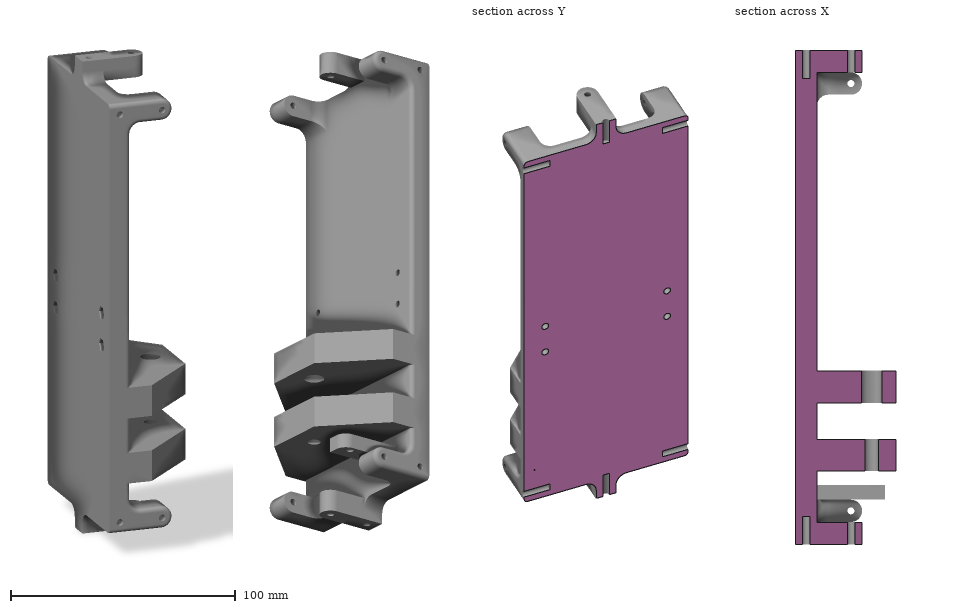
import cadquery as cq
import math

WIDTH = 80.0
DEPTH = 45.0
LENGTH = 220.0

PLATE_THICKNESS = 10.0
FLANGE_THICKNESS = 10.0
FLANGE_DEPTH = 30.0
FLANGE_TIP_RADIUS = FLANGE_THICKNESS / 2
INNER_CORNER_RADIUS = 5.0
SIDE_EDGE_RADIUS = 2.0
OPENING_WIDTH = 55.5

TAB_WIDTH = 10.0
BODY_LENGTH = 200.0
TAB_LENGTH = (LENGTH - BODY_LENGTH) / 2
TAB_ROOT_RADIUS = 5.0

SCREW_HOLE_DIAMETER = 3.0
BLIND_HOLE_DEPTH = 12.5

BLOCK_LENGTH = 14.3
BLOCK_TOP_WIDTH = 30.0
BLOCK_CHAMFER = (WIDTH - BLOCK_TOP_WIDTH) / 2
UPPER_BLOCK_CENTER = -39.8
BLOCK_PITCH = 30.4
LOWER_BLOCK_CENTER = UPPER_BLOCK_CENTER - BLOCK_PITCH
SHAFT_HEIGHT = 34.0
UPPER_BORE_DIAMETER = 9.0
LOWER_BORE_DIAMETER = 6.0

EAR_OUTER_X = -30.0
EAR_WIDTH = 10.0
EAR_DEPTH = 40.0
EAR_LENGTH = 6.5
EAR_CORNER_RADIUS = 5.0
EAR_HOLE_INSET = 3.0

NUT_SPACING_X = 59.5
NUT_ROW_HEIGHTS = (0.0, -15.0)
NUT_ACROSS_FLATS = 5.7
NUT_POCKET_DEPTH = 3.0

BODY_TOP = BODY_LENGTH / 2
FLANGE_INNER = BODY_TOP - FLANGE_THICKNESS
FLANGE_MIDDLE = BODY_TOP - FLANGE_THICKNESS / 2
TIP_CENTER_Y = FLANGE_DEPTH - FLANGE_TIP_RADIUS
SCREW_HOLE_INNER_Y = PLATE_THICKNESS / 2


def solid_along_z(sketch, z_start, height):
    """Extrude a workplane drawn in X and Y upward from z_start."""
    return sketch.extrude(height).translate((0, 0, z_start))


def cylinder(start, direction, diameter, length):
    return cq.Workplane(
        cq.Solid.makeCylinder(diameter / 2, length, cq.Vector(*start), cq.Vector(*direction))
    )


def make_body():
    """Plate and end flanges as one C profile, rounded along both sides, then opened up."""
    corner_y = PLATE_THICKNESS + INNER_CORNER_RADIUS
    corner_z = FLANGE_INNER - INNER_CORNER_RADIUS
    arc_offset = INNER_CORNER_RADIUS * (1 - math.sqrt(0.5))
    arc_y = PLATE_THICKNESS + arc_offset
    arc_z = FLANGE_INNER - arc_offset
    body = (
        cq.Workplane("YZ")
        .moveTo(0, -BODY_TOP)
        .lineTo(TIP_CENTER_Y, -BODY_TOP)
        .threePointArc((FLANGE_DEPTH, -FLANGE_MIDDLE), (TIP_CENTER_Y, -FLANGE_INNER))
        .lineTo(corner_y, -FLANGE_INNER)
        .threePointArc((arc_y, -arc_z), (PLATE_THICKNESS, -corner_z))
        .lineTo(PLATE_THICKNESS, corner_z)
        .threePointArc((arc_y, arc_z), (corner_y, FLANGE_INNER))
        .lineTo(TIP_CENTER_Y, FLANGE_INNER)
        .threePointArc((FLANGE_DEPTH, FLANGE_MIDDLE), (TIP_CENTER_Y, BODY_TOP))
        .lineTo(0, BODY_TOP)
        .close()
        .extrude(WIDTH / 2, both=True)
    )
    body = body.faces("<X or >X").edges("not <Y").fillet(SIDE_EDGE_RADIUS)

    opening = (
        cq.Workplane("XY")
        .box(OPENING_WIDTH, 2 * FLANGE_DEPTH, LENGTH, centered=(True, False, True))
        .edges("<Y and |Z")
        .fillet(INNER_CORNER_RADIUS)
        .translate((0, PLATE_THICKNESS, 0))
    )
    return body.cut(opening)


def make_tab():
    """Round-ended tab at the top end, with its root flared into the plate."""
    half = TAB_WIDTH / 2
    bar_end = FLANGE_DEPTH - half
    bar = solid_along_z(
        cq.Workplane("XY")
        .moveTo(-half, 0)
        .lineTo(half, 0)
        .lineTo(half, bar_end)
        .threePointArc((0, FLANGE_DEPTH), (-half, bar_end))
        .close(),
        BODY_TOP,
        TAB_LENGTH,
    )
    flare = half + TAB_ROOT_RADIUS
    root = (
        cq.Workplane("XZ")
        .moveTo(-flare, BODY_TOP)
        .radiusArc((-half, BODY_TOP + TAB_ROOT_RADIUS), -TAB_ROOT_RADIUS)
        .lineTo(half, BODY_TOP + TAB_ROOT_RADIUS)
        .radiusArc((flare, BODY_TOP), -TAB_ROOT_RADIUS)
        .close()
        .extrude(-PLATE_THICKNESS)
    )
    outer_hole = cylinder((0, bar_end, LENGTH / 2), (0, 0, -1), SCREW_HOLE_DIAMETER, TAB_LENGTH)
    return bar.union(root).cut(outer_hole)


def make_block(center_z, bore_diameter):
    """Full-width bearing block with sloped shoulders and a bore along Z."""
    bottom = center_z - BLOCK_LENGTH / 2
    shoulder = DEPTH - BLOCK_CHAMFER
    block = solid_along_z(
        cq.Workplane("XY").polyline(
            [
                (-WIDTH / 2, 0),
                (WIDTH / 2, 0),
                (WIDTH / 2, shoulder),
                (BLOCK_TOP_WIDTH / 2, DEPTH),
                (-BLOCK_TOP_WIDTH / 2, DEPTH),
                (-WIDTH / 2, shoulder),
            ]
        ).close(),
        bottom,
        BLOCK_LENGTH,
    )
    return block.cut(cylinder((0, SHAFT_HEIGHT, bottom), (0, 0, 1), bore_diameter, BLOCK_LENGTH))


def make_ear():
    """Upright ear with a rounded outer corner and one screw hole."""
    ear = (
        cq.Workplane("XY")
        .box(EAR_WIDTH, EAR_DEPTH, EAR_LENGTH, centered=False)
        .edges("<X and >Y and |Z")
        .fillet(EAR_CORNER_RADIUS)
        .translate((EAR_OUTER_X, 0, -FLANGE_INNER))
    )
    hole_start = (EAR_OUTER_X + EAR_HOLE_INSET, SHAFT_HEIGHT, -FLANGE_INNER)
    return ear.cut(cylinder(hole_start, (0, 0, 1), SCREW_HOLE_DIAMETER, EAR_LENGTH))


def cut_end_screw_holes(part):
    """Holes through the flange tips, and blind holes into the plate's sides and tabs."""
    for end in (-1, 1):
        hole_z = end * FLANGE_MIDDLE
        tip_start = (-WIDTH / 2, TIP_CENTER_Y, hole_z)
        part = part.cut(cylinder(tip_start, (1, 0, 0), SCREW_HOLE_DIAMETER, WIDTH))
        tab_start = (0, SCREW_HOLE_INNER_Y, end * LENGTH / 2)
        part = part.cut(cylinder(tab_start, (0, 0, -end), SCREW_HOLE_DIAMETER, BLIND_HOLE_DEPTH))
        for side in (-1, 1):
            start = (side * WIDTH / 2, SCREW_HOLE_INNER_Y, hole_z)
            part = part.cut(cylinder(start, (-side, 0, 0), SCREW_HOLE_DIAMETER, BLIND_HOLE_DEPTH))
    return part


def cut_nut_holes(part):
    """Through holes in the plate, each with a hexagonal pocket in the front face."""
    across_corners = NUT_ACROSS_FLATS / math.cos(math.pi / 6)
    places = [(side * NUT_SPACING_X / 2, z) for side in (-1, 1) for z in NUT_ROW_HEIGHTS]
    points = cq.Workplane("XZ").pushPoints(places)
    holes = points.circle(SCREW_HOLE_DIAMETER / 2).extrude(-PLATE_THICKNESS)
    pockets = points.polygon(6, across_corners).extrude(-NUT_POCKET_DEPTH)
    return part.cut(holes).cut(pockets)


top_tab = make_tab()
result = (
    make_body()
    .union(top_tab)
    .union(top_tab.mirror("XY"))
    .union(make_block(UPPER_BLOCK_CENTER, UPPER_BORE_DIAMETER))
    .union(make_block(LOWER_BLOCK_CENTER, LOWER_BORE_DIAMETER))
    .union(make_ear())
)
result = cut_end_screw_holes(result)
result = cut_nut_holes(result)